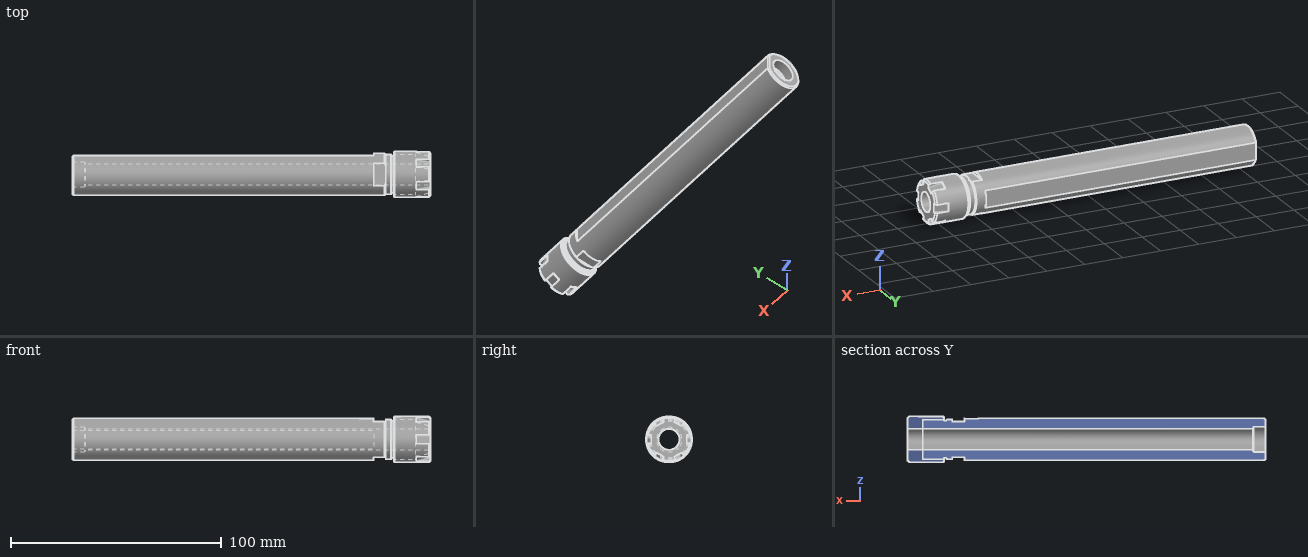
import cadquery as cq
import math


shank_diameter = 20.0
shank_length = 148.8
end_chamfer = 0.7
side_flat_height = 9.0
wrench_flat_height = 8.5
wrench_flat_length = 5.6
spigot_diameter = 19.0
spigot_chamfer = 0.5
undercut_diameter = 17.7
undercut_length = 0.9

entry_diameter = 11.9
entry_depth = 5.6
drill_point_angle = 118.0
bore_diameter = 9.9

overall_length = 170.2
nut_diameter = 22.0
nut_length = 17.5
rear_chamfer = 0.5
front_chamfer = 0.9
nut_seat_depth = 10.2
slot_count = 6
slot_length = 6.8
slot_width = 4.3
slot_front_depth = 2.5
slot_rear_depth = 0.5
slot_floor_radius = 0.3

nut_start = overall_length - nut_length
spigot_end = nut_start + nut_seat_depth
flat_start = shank_length - wrench_flat_length
bore_step = (entry_diameter - bore_diameter) / 2
cone_length = bore_step / math.tan(math.radians(drill_point_angle / 2))


def cylinder_along_x(diameter, start, end):
    return cq.Workplane("YZ").workplane(offset=start).circle(diameter / 2).extrude(end - start)


def box_between(x_range, y_range, z_range):
    sizes = [high - low for low, high in (x_range, y_range, z_range)]
    corner = (x_range[0], y_range[0], z_range[0])
    return cq.Workplane("XY").box(*sizes, centered=False).translate(corner)


def make_shank():
    radius = shank_diameter / 2
    body = cylinder_along_x(shank_diameter, 0, shank_length)
    body = body.faces(">X").chamfer((shank_diameter - spigot_diameter) / 2)

    body = body.cut(box_between((0, flat_start), (side_flat_height, radius), (-radius, radius)))
    body = body.faces("<X").chamfer(end_chamfer)

    for low, high in ((wrench_flat_height, radius), (-radius, -wrench_flat_height)):
        body = body.cut(box_between((flat_start, shank_length), (-radius, radius), (low, high)))

    collar = cylinder_along_x(spigot_diameter, shank_length, nut_start - undercut_length)
    body = body.union(collar.faces(">X").chamfer(spigot_chamfer))
    body = body.union(cylinder_along_x(undercut_diameter, shank_length, nut_start))
    body = body.union(cylinder_along_x(spigot_diameter, nut_start, spigot_end))

    body = body.cut(cylinder_along_x(bore_diameter, 0, spigot_end))
    entry = cylinder_along_x(entry_diameter, 0, entry_depth + cone_length)
    entry = entry.faces(">X").chamfer(cone_length, bore_step)
    return body.cut(entry)


def slot_cutter():
    rear = overall_length - slot_length
    nut_radius = nut_diameter / 2
    profile = [
        (rear, nut_radius - slot_rear_depth),
        (overall_length, nut_radius - slot_front_depth),
        (overall_length, nut_diameter),
        (rear, nut_diameter),
    ]
    cutter = cq.Workplane("XZ").polyline(profile).close().extrude(slot_width / 2, both=True)
    return cutter.faces("<Z").edges("not |Y").fillet(slot_floor_radius)


def make_nut():
    body = cylinder_along_x(nut_diameter, nut_start, overall_length)
    body = body.faces("<X").chamfer(rear_chamfer)
    body = body.faces(">X").chamfer(front_chamfer)
    body = body.cut(cylinder_along_x(spigot_diameter, nut_start, spigot_end))
    body = body.cut(cylinder_along_x(bore_diameter, spigot_end, overall_length))

    pitch = 360 / slot_count
    for index in range(slot_count):
        cutter = slot_cutter().rotate((0, 0, 0), (1, 0, 0), (index + 0.5) * pitch)
        body = body.cut(cutter)
    return body


shank = make_shank()
nut = make_nut()

result = cq.Compound.makeCompound([shank.val(), nut.val()])